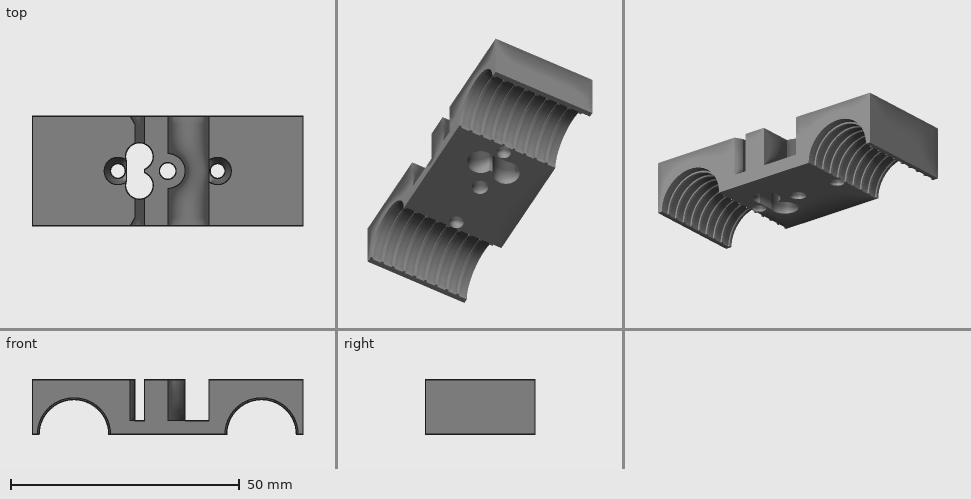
import cadquery as cq
import math

LENGTH = 59.2
WIDTH = 24.0
HEIGHT = 12.0

SADDLE_X = 20.5
SADDLE_RADIUS = 8.0
GRIP_RIB_HEIGHT = 0.4
GRIP_RIB_COUNT = 9
GRIP_RIB_PITCH = WIDTH / GRIP_RIB_COUNT
GRIP_GROOVE_WIDTH = 2.0

FLOOR_Z = 3.0
NARROW_CHANNEL_LEFT = -7.2
BAR_LEFT = -5.1
BAR_RIGHT = 0.0
WIDE_CHANNEL_RIGHT = 9.0

FLARE_DEPTH = 1.0
FLARE_ANGLE = 60
FLARE_LENGTH = FLARE_DEPTH * math.tan(math.radians(FLARE_ANGLE))

BOSS_RADIUS = 3.8
BOSS_HOLE_DIAMETER = 3.6

LOBE_X = -6.2
LOBE_Y = 3.15
LOBE_RADIUS = 3.0
NECK_LEFT = -9.0

SCREW_X = 10.9
SCREW_DIAMETER = 3.2
SCREW_HEAD_DIAMETER = 6.0
COUNTERSINK_TOP_Z = 7.0
COUNTERSINK_DEPTH = (SCREW_HEAD_DIAMETER - SCREW_DIAMETER) / 2


def box_between(x_min, x_max, y_min, y_max, z_min, z_max):
    size = (x_max - x_min, y_max - y_min, z_max - z_min)
    return cq.Workplane("XY").box(*size, centered=False).translate((x_min, y_min, z_min))


def cylinder(x, y, radius, z_min, z_max):
    return cq.Workplane("XY", origin=(x, y, z_min)).circle(radius).extrude(z_max - z_min)


def rod_along_y(x, radius, y_min, length):
    return cq.Workplane("XZ", origin=(x, y_min, 0)).circle(radius).extrude(-length)


def saddle_cutter(x):
    """Bore at the rib crests, widened by one groove in front of each grip rib."""
    front_y = -WIDTH / 2
    cutter = rod_along_y(x, SADDLE_RADIUS - GRIP_RIB_HEIGHT, front_y, WIDTH)
    for index in range(GRIP_RIB_COUNT):
        groove_y = front_y + index * GRIP_RIB_PITCH
        cutter = cutter.union(rod_along_y(x, SADDLE_RADIUS, groove_y, GRIP_GROOVE_WIDTH))
    return cutter


def narrow_channel():
    """Straight channel whose left wall flares outwards at both ends."""
    half = WIDTH / 2
    flare_left = NARROW_CHANNEL_LEFT - FLARE_DEPTH
    outline = [
        (BAR_LEFT, -half),
        (BAR_LEFT, half),
        (flare_left, half),
        (NARROW_CHANNEL_LEFT, half - FLARE_LENGTH),
        (NARROW_CHANNEL_LEFT, FLARE_LENGTH - half),
        (flare_left, -half),
    ]
    channel = cq.Workplane("XY", origin=(0, 0, FLOOR_Z)).polyline(outline).close()
    return channel.extrude(HEIGHT - FLOOR_Z)


def wide_channel():
    """Straight channel that leaves half of the round boss standing beside the bar."""
    channel = box_between(BAR_RIGHT, WIDE_CHANNEL_RIGHT, -WIDTH / 2, WIDTH / 2, FLOOR_Z, HEIGHT)
    return channel.cut(cylinder(BAR_RIGHT, 0, BOSS_RADIUS, FLOOR_Z, HEIGHT))


def keyhole():
    opening = box_between(NECK_LEFT, BAR_LEFT, -LOBE_Y, LOBE_Y, 0, HEIGHT)
    for side in (-1, 1):
        opening = opening.union(cylinder(LOBE_X, side * LOBE_Y, LOBE_RADIUS, 0, HEIGHT))
    return opening


def screw_hole(x):
    """Through hole, countersink and head clearance bore as one turned cutter."""
    hole_radius = SCREW_DIAMETER / 2
    head_radius = SCREW_HEAD_DIAMETER / 2
    profile = [
        (0, 0),
        (hole_radius, 0),
        (hole_radius, COUNTERSINK_TOP_Z - COUNTERSINK_DEPTH),
        (head_radius, COUNTERSINK_TOP_Z),
        (head_radius, HEIGHT),
        (0, HEIGHT),
    ]
    cutter = cq.Workplane("XZ").polyline(profile).close().revolve(360, (0, 0, 0), (0, 1, 0))
    return cutter.translate((x, 0, 0))


result = box_between(-LENGTH / 2, LENGTH / 2, -WIDTH / 2, WIDTH / 2, 0, HEIGHT)
result = result.cut(narrow_channel()).cut(wide_channel()).cut(keyhole())
result = result.cut(cylinder(BAR_RIGHT, 0, BOSS_HOLE_DIAMETER / 2, 0, HEIGHT))
for side in (-1, 1):
    result = result.cut(saddle_cutter(side * SADDLE_X))
    result = result.cut(screw_hole(side * SCREW_X))